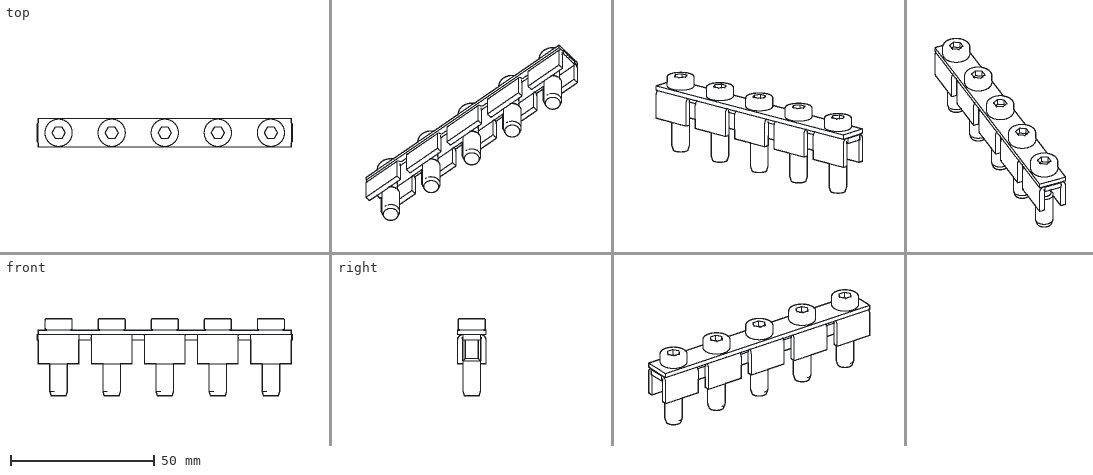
import cadquery as cq
import math

screw_count = 5
screw_pitch = 18.5
bridge_width = 10.0
overall_length = 89.0
overall_height = 27.0

strip_thickness = 1.6

sheet_thickness = 1.9
root_fillet = 0.4
leg_height = 10.2
web_width = bridge_width - 2 * sheet_thickness
strip_length = overall_length - 2 * root_fillet
leg_length = strip_length - (screw_count - 1) * screw_pitch
root_fillet_top_spread = 1.1
root_fillet_bottom_spread = 0.02

head_diameter = 9.5
head_height = 4.0
head_fillet = 0.6
socket_across_flats = 4.0
socket_depth = 2.0
socket_point_angle = 120.0
neck_diameter = 4.7
neck_below_web = 6.5
thread_diameter = 6.2
point_diameter = 5.2
point_length = 1.6

head_top = strip_thickness + head_height
screw_bottom = head_top - overall_height
screw_positions = [
    (screw_pitch * (i - (screw_count - 1) / 2), 0) for i in range(screw_count)
]


def make_flat_bar(length, width, thickness, bottom):
    """Rectangular bar centred in X and Y, with its underside at the given height."""
    return cq.Workplane("XY", origin=(0, 0, bottom)).box(
        length, width, thickness, centered=(True, True, False)
    )


def make_neck_holes():
    """Cylinders that clear the screw necks through the strip and the web."""
    return (
        cq.Workplane("XY", origin=(0, 0, -sheet_thickness))
        .pushPoints(screw_positions)
        .circle(neck_diameter / 2)
        .extrude(sheet_thickness + strip_thickness)
    )


def make_strip():
    """Flat strip with a hole for each screw neck."""
    strip = make_flat_bar(strip_length, bridge_width, strip_thickness, 0)
    return strip.cut(make_neck_holes())


def make_leg_pair():
    """Inverted U: web with both legs bent down, sharp inside and round outside."""
    half_width = bridge_width / 2
    half_web = web_width / 2
    bend_offset = sheet_thickness * math.sqrt(0.5)
    return (
        cq.Workplane("YZ")
        .moveTo(-half_web, 0)
        .lineTo(half_web, 0)
        .threePointArc(
            (half_web + bend_offset, bend_offset - sheet_thickness),
            (half_width, -sheet_thickness),
        )
        .lineTo(half_width, -leg_height)
        .lineTo(half_web, -leg_height)
        .lineTo(half_web, -sheet_thickness)
        .lineTo(-half_web, -sheet_thickness)
        .lineTo(-half_web, -leg_height)
        .lineTo(-half_width, -leg_height)
        .lineTo(-half_width, -sheet_thickness)
        .threePointArc(
            (-half_web - bend_offset, bend_offset - sheet_thickness),
            (-half_web, 0),
        )
        .close()
        .extrude(leg_length / 2, both=True)
    )


def fillet_outline(z, spread):
    """Concave corner outline between the web edge (along X) and the leg end (along Y)."""
    corner_x = leg_length / 2
    corner_y = web_width / 2
    return (
        cq.Workplane("XY", origin=(corner_x, corner_y, z))
        .moveTo(root_fillet, 0)
        .lineTo(0, 0)
        .lineTo(0, spread)
        .ellipseArc(root_fillet, spread, 180, 270, startAtCurrent=True)
        .close()
        .wires()
        .val()
    )


def make_root_fillet():
    """Fillet at the foot of a leg; it fans out around the bend, so it widens upwards."""
    fan = cq.Solid.makeLoft(
        [
            fillet_outline(-sheet_thickness, root_fillet_bottom_spread),
            fillet_outline(0, root_fillet_top_spread),
        ],
        True,
    )
    bend = (
        cq.Workplane("YZ", origin=(0, web_width / 2, -sheet_thickness))
        .circle(sheet_thickness)
        .extrude(overall_length)
    )
    return cq.Workplane(fan).intersect(bend)


def make_channel():
    """Web along the full length with filleted leg pairs below each screw."""
    channel = make_flat_bar(overall_length, web_width, sheet_thickness, -sheet_thickness)
    corner = make_root_fillet()
    leg_pair = make_leg_pair()
    for fillet in (corner, corner.mirror("XZ")):
        leg_pair = leg_pair.union(fillet).union(fillet.mirror("YZ"))
    for x, y in screw_positions:
        channel = channel.union(leg_pair.translate((x, y, 0)))
    return channel.cut(make_neck_holes())


def make_socket():
    """Hexagon socket ending in a conical drill point."""
    corner_radius = socket_across_flats / math.sqrt(3)
    point_depth = corner_radius / math.tan(math.radians(socket_point_angle / 2))
    hexagon = (
        cq.Workplane("XY", origin=(0, 0, head_top))
        .polygon(6, 2 * corner_radius)
        .extrude(-socket_depth - point_depth)
    )
    drill = (
        cq.Workplane("XZ")
        .moveTo(0, head_top)
        .lineTo(corner_radius, head_top)
        .lineTo(corner_radius, head_top - socket_depth)
        .lineTo(0, head_top - socket_depth - point_depth)
        .close()
        .revolve()
    )
    return hexagon.intersect(drill)


def make_screw():
    """Low-head socket screw with a reduced neck and a tapered point."""
    neck_bottom = -sheet_thickness - neck_below_web
    shoulder_height = (thread_diameter - neck_diameter) / 2
    head = (
        cq.Workplane("XY", origin=(0, 0, strip_thickness))
        .circle(head_diameter / 2)
        .extrude(head_height)
        .faces("|Z")
        .edges()
        .fillet(head_fillet)
    )
    shank = (
        cq.Workplane("XZ")
        .moveTo(0, strip_thickness)
        .lineTo(neck_diameter / 2, strip_thickness)
        .lineTo(neck_diameter / 2, neck_bottom)
        .lineTo(thread_diameter / 2, neck_bottom - shoulder_height)
        .lineTo(thread_diameter / 2, screw_bottom + point_length)
        .lineTo(point_diameter / 2, screw_bottom)
        .lineTo(0, screw_bottom)
        .close()
        .revolve()
    )
    return head.union(shank).cut(make_socket())


strip = make_strip()
channel = make_channel()
screw = make_screw()
screws = [screw.translate((x, y, 0)) for x, y in screw_positions]

result = cq.Compound.makeCompound([strip.val(), channel.val(), *[s.val() for s in screws]])